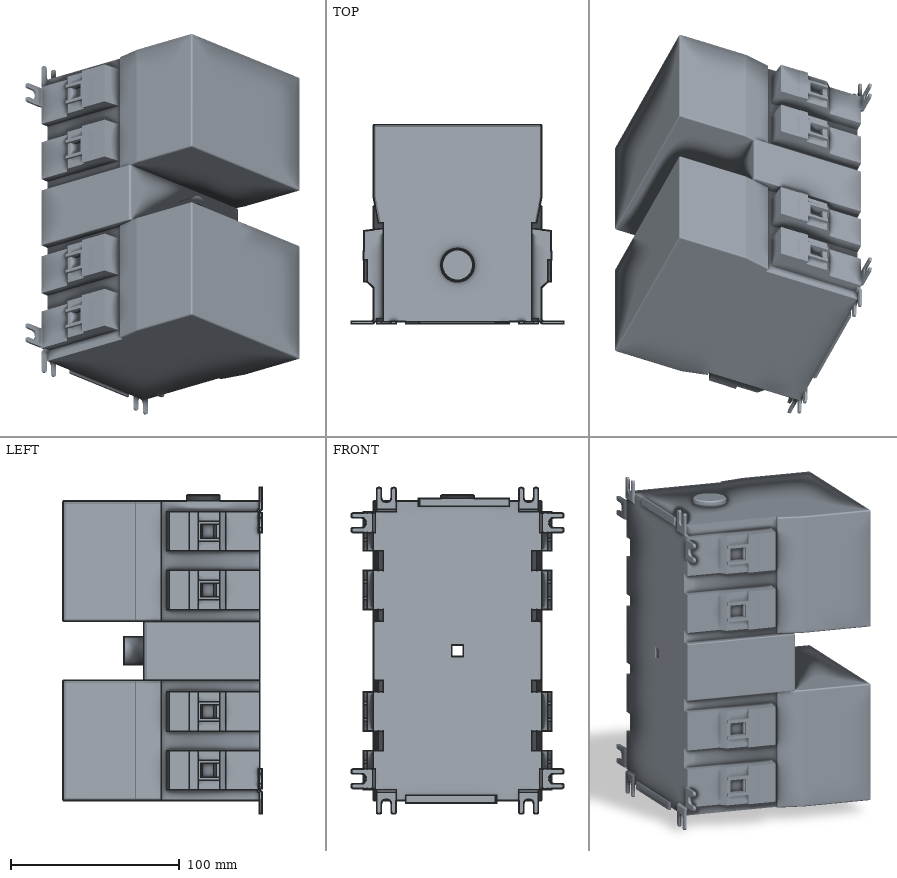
import cadquery as cq
import math


TOTAL_WIDTH = 126.0
TOTAL_HEIGHT = 193.5
BODY_DEPTH = 116.7

BODY_TOP = 88.8
BASE_HALF_WIDTH = 44.1
BASE_DEPTH = 58.5
COVER_HALF_WIDTH = 50.0
COVER_FOOT_HALF_WIDTH = 46.8
COVER_TAPER_END = 73.9
COVER_ROUND = 1.0

CENTRE_HALF_HEIGHT = 17.5
CENTRE_DEPTH = 68.9
CENTRE_BACK_ROUND = 1.4
CENTRE_END_ROUND = 0.5
BUTTON_RADIUS = 8.3
BUTTON_TOP = 80.5
SHAFT_HOLE = 6.5

BOSS_HALF_WIDTH = 55.7
BOSS_HEIGHT = 23.2
BOSS_CENTRES = (36.0, 70.8)
BOSS_BACK_INNER = 55.1
BOSS_BACK_OUTER = 53.8
BOSS_LIP_BACK = 41.8
BOSS_LIP_HEIGHT = 0.2
RECESS_HALF_WIDTH = 53.5
RECESS_BACK = 36.5
RECESS_FRONT = 23.6
BOSS_TAPER_FRONT = 20.1

FRAME_HEIGHT = 11.8
POCKET_HEIGHT = 8.1
POCKET_BACK = 35.0
HOLE_DEPTH = 3.9
HOLE_BACK = 34.2
HOLE_FRONT = 26.0
HOLE_FRONT_SLOPE = 1.4

LUG_THICKNESS = 1.5
LUG_PROJECTION = 1.4
LUG_BEND_ANGLE = 45
LUG_WIDTH = 11.6
LUG_FOOT_LENGTH = 3.9
LUG_SLOT_WIDTH = 5.8
LUG_SLOT_DEPTH = 8.7
LUG_TIP_ROUND = 1.4
END_LUG_X = 42.2
END_LUG_BEND = 82.5
SIDE_LUG_Z = 75.8
SIDE_LUG_BEND = 48.8

STRIP_NEAR_END = 23.2
STRIP_FAR_END = 30.8
STRIP_HEIGHT = 4.6
STRIP_OVERHANG = 1.5
STRIP_CHAMFER = 1.0
TOP_STRIP_THICKNESS = 1.2
BOTTOM_STRIP_THICKNESS = LUG_PROJECTION

KNOB_RADIUS = 9.9
KNOB_HEIGHT = 3.7
KNOB_Y = 33.5
KNOB_CHAMFER = 0.8


def box(x_range, y_range, z_range):
    """Box between the given limits."""
    limits = (x_range, y_range, z_range)
    size = [high - low for low, high in limits]
    corner = [low for low, high in limits]
    return cq.Workplane("XY").box(*size, centered=False).translate(tuple(corner))


def prism_z(points, bottom, height):
    """Closed XY outline extruded upward from z = bottom."""
    return cq.Workplane("XY").workplane(offset=bottom).polyline(points).close().extrude(height)


def module():
    """Upper module: a narrow base with a wider cover that tapers down to it."""
    height = BODY_TOP - CENTRE_HALF_HEIGHT
    base = box(
        (-BASE_HALF_WIDTH, BASE_HALF_WIDTH),
        (0, BASE_DEPTH + COVER_ROUND),
        (CENTRE_HALF_HEIGHT, BODY_TOP),
    )
    half_outline = [
        (COVER_FOOT_HALF_WIDTH, BASE_DEPTH),
        (COVER_HALF_WIDTH, COVER_TAPER_END),
        (COVER_HALF_WIDTH, BODY_DEPTH),
    ]
    mirrored = [(-x, y) for x, y in reversed(half_outline)]
    cover = prism_z(half_outline + mirrored, CENTRE_HALF_HEIGHT, height)
    cover = cover.faces(">Y or >Z or <Z").edges("not(<Y)").fillet(COVER_ROUND)
    return base.union(cover)


def centre_block():
    """Full-width block between the modules, with a round button on its back."""
    block = box(
        (-COVER_HALF_WIDTH, COVER_HALF_WIDTH),
        (0, CENTRE_DEPTH),
        (-CENTRE_HALF_HEIGHT, CENTRE_HALF_HEIGHT),
    )
    block = block.faces(">Y").edges("|Z").fillet(CENTRE_BACK_ROUND)
    block = block.faces("<Z or >Z").edges("not(<Y)").fillet(CENTRE_END_ROUND)
    button = cq.Workplane("XZ").circle(BUTTON_RADIUS).extrude(-BUTTON_TOP)
    return block.union(button)


def terminal_boss(z_centre):
    """Terminal boss on the +X side with a lip, a recess and a clamp frame."""
    face_half_width = BOSS_HALF_WIDTH - BOSS_LIP_HEIGHT
    boss = prism_z(
        [
            (BASE_HALF_WIDTH, 0),
            (COVER_HALF_WIDTH, 0),
            (COVER_HALF_WIDTH, BOSS_TAPER_FRONT),
            (RECESS_HALF_WIDTH, RECESS_FRONT),
            (RECESS_HALF_WIDTH, RECESS_BACK),
            (BOSS_HALF_WIDTH, RECESS_BACK),
            (BOSS_HALF_WIDTH, BOSS_LIP_BACK),
            (face_half_width, BOSS_LIP_BACK),
            (face_half_width, BOSS_BACK_OUTER),
            (BASE_HALF_WIDTH, BOSS_BACK_INNER),
        ],
        z_centre - BOSS_HEIGHT / 2,
        BOSS_HEIGHT,
    )
    frame = box(
        (RECESS_HALF_WIDTH, face_half_width),
        (RECESS_FRONT, RECESS_BACK),
        (z_centre - FRAME_HEIGHT / 2, z_centre + FRAME_HEIGHT / 2),
    )
    pocket = box(
        (RECESS_HALF_WIDTH, BOSS_HALF_WIDTH),
        (RECESS_FRONT, POCKET_BACK),
        (z_centre - POCKET_HEIGHT / 2, z_centre + POCKET_HEIGHT / 2),
    )
    hole_floor = RECESS_HALF_WIDTH - HOLE_DEPTH
    hole = prism_z(
        [
            (RECESS_HALF_WIDTH, HOLE_FRONT),
            (RECESS_HALF_WIDTH, HOLE_BACK),
            (hole_floor, HOLE_BACK),
            (hole_floor, HOLE_FRONT + HOLE_FRONT_SLOPE),
        ],
        z_centre - POCKET_HEIGHT / 2,
        POCKET_HEIGHT,
    )
    return boss.union(frame).cut(pocket).cut(hole)


def lug(bend, tip):
    """Forked lug pointing along +X, centred on z = 0.

    Its foot is sunk into the body and a joggle of constant thickness brings
    the fork out in front of the mounting face.
    """
    joggle_length = LUG_PROJECTION / math.tan(math.radians(LUG_BEND_ANGLE))
    back_shift = LUG_THICKNESS * math.tan(math.radians(LUG_BEND_ANGLE / 2))
    foot_end = bend - LUG_FOOT_LENGTH
    fork_start = bend + joggle_length
    fork_back = LUG_THICKNESS - LUG_PROJECTION
    profile = [
        (foot_end, 0),
        (bend, 0),
        (fork_start, -LUG_PROJECTION),
        (tip, -LUG_PROJECTION),
        (tip, fork_back),
        (fork_start + back_shift, fork_back),
        (bend + back_shift, LUG_THICKNESS),
        (foot_end, LUG_THICKNESS),
    ]
    plate = prism_z(profile, -LUG_WIDTH / 2, LUG_WIDTH)
    slot = (
        cq.Workplane("XZ")
        .center(tip, 0)
        .slot2D(2 * LUG_SLOT_DEPTH, LUG_SLOT_WIDTH)
        .extrude(LUG_THICKNESS, both=True)
    )
    return plate.cut(slot).faces(">X").edges("|Y").fillet(LUG_TIP_ROUND)


def edge_strip(thickness):
    """Strip along the top edge of the mounting face, chamfered at one end."""
    strip = box(
        (-STRIP_NEAR_END, STRIP_FAR_END),
        (-thickness, 0),
        (BODY_TOP + STRIP_OVERHANG - STRIP_HEIGHT, BODY_TOP + STRIP_OVERHANG),
    )
    return strip.faces("<X").edges("<Y").chamfer(STRIP_CHAMFER)


def knob():
    """Round knob on the top face."""
    return (
        cq.Workplane("XY", origin=(0, KNOB_Y, BODY_TOP))
        .circle(KNOB_RADIUS)
        .extrude(KNOB_HEIGHT)
        .faces(">Z")
        .chamfer(KNOB_CHAMFER)
    )


side_lug = lug(SIDE_LUG_BEND, TOTAL_WIDTH / 2).translate((0, 0, SIDE_LUG_Z))
end_lug = (
    lug(END_LUG_BEND, TOTAL_HEIGHT / 2)
    .rotate((0, 0, 0), (0, 1, 0), -90)
    .translate((END_LUG_X, 0, 0))
)
quarter = side_lug.union(end_lug)
for boss_z in BOSS_CENTRES:
    quarter = quarter.union(terminal_boss(boss_z))

upper_half = module().union(quarter).union(quarter.mirror("YZ"))
body = upper_half.union(upper_half.mirror("XY")).union(centre_block())

bottom_strip = edge_strip(BOTTOM_STRIP_THICKNESS).rotate((0, 0, 0), (0, 1, 0), 180)
body = body.union(edge_strip(TOP_STRIP_THICKNESS)).union(bottom_strip).union(knob())

shaft_hole = cq.Workplane("XZ").rect(SHAFT_HOLE, SHAFT_HOLE).extrude(-BUTTON_TOP)
result = body.cut(shaft_hole)